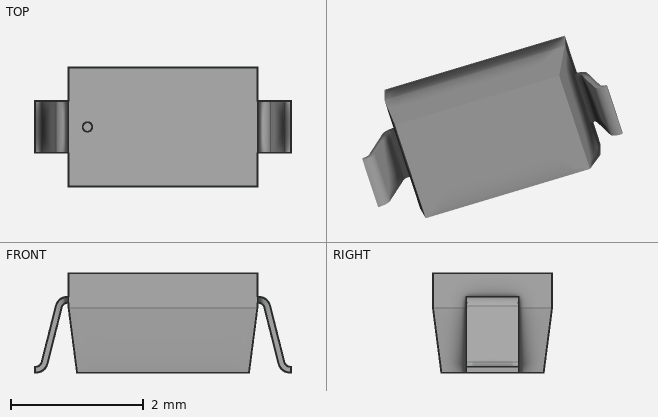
import cadquery as cq
import math

OVERALL_LENGTH = 3.86

HOUSING_LENGTH = 2.85
HOUSING_WIDTH = 1.8
HOUSING_HEIGHT = 1.5
PARTING_HEIGHT = 0.98
BASE_INSET = 0.127

MARK_DIAMETER = 0.143
MARK_DEPTH = 0.02
MARK_X = -1.14

LEAD_WIDTH = 0.785
LEAD_THICKNESS = 0.093
LEAD_TOP = 1.145
BEND_INNER_RADIUS = 0.093
LEAD_END_FLAT = 0.01


def make_mark():
    return (
        cq.Workplane("XY", origin=(MARK_X, 0, HOUSING_HEIGHT - MARK_DEPTH))
        .circle(MARK_DIAMETER / 2)
        .extrude(MARK_DEPTH)
    )


def make_housing(mark):
    upper = (
        cq.Workplane("XY", origin=(0, 0, PARTING_HEIGHT))
        .rect(HOUSING_LENGTH, HOUSING_WIDTH)
        .extrude(HOUSING_HEIGHT - PARTING_HEIGHT)
    )
    lower = (
        cq.Workplane("XY")
        .rect(HOUSING_LENGTH - 2 * BASE_INSET, HOUSING_WIDTH - 2 * BASE_INSET)
        .workplane(offset=PARTING_HEIGHT)
        .rect(HOUSING_LENGTH, HOUSING_WIDTH)
        .loft(ruled=True)
    )
    return upper.union(lower).cut(mark)


def make_lead(side):
    """Bent lead at the -X end (side = -1) or the +X end (side = 1)."""
    root_x = HOUSING_LENGTH / 2
    toe_x = OVERALL_LENGTH / 2
    outer_radius = BEND_INNER_RADIUS + LEAD_THICKNESS

    shoulder_x = root_x + LEAD_END_FLAT
    shoulder_z = LEAD_TOP - outer_radius
    foot_x = toe_x - LEAD_END_FLAT
    foot_z = outer_radius

    run = foot_x - shoulder_x
    drop = shoulder_z - foot_z
    radius_sum = BEND_INNER_RADIUS + outer_radius
    leg_length = math.sqrt(run**2 + drop**2 - radius_sum**2)
    lean = math.atan2(run, drop) - math.atan2(radius_sum, leg_length)
    bend_end = lean
    bend_middle = (math.pi / 2 + lean) / 2

    def on_shoulder(radius, angle):
        return (side * (shoulder_x + radius * math.cos(angle)), shoulder_z + radius * math.sin(angle))

    def on_foot(radius, angle):
        return (side * (foot_x - radius * math.cos(angle)), foot_z - radius * math.sin(angle))

    return (
        cq.Workplane("XZ")
        .moveTo(side * root_x, LEAD_TOP)
        .lineTo(side * shoulder_x, LEAD_TOP)
        .threePointArc(on_shoulder(outer_radius, bend_middle), on_shoulder(outer_radius, bend_end))
        .lineTo(*on_foot(BEND_INNER_RADIUS, bend_end))
        .threePointArc(on_foot(BEND_INNER_RADIUS, bend_middle), (side * foot_x, LEAD_THICKNESS))
        .lineTo(side * toe_x, LEAD_THICKNESS)
        .lineTo(side * toe_x, 0)
        .lineTo(side * foot_x, 0)
        .threePointArc(on_foot(outer_radius, bend_middle), on_foot(outer_radius, bend_end))
        .lineTo(*on_shoulder(BEND_INNER_RADIUS, bend_end))
        .threePointArc(
            on_shoulder(BEND_INNER_RADIUS, bend_middle),
            (side * shoulder_x, LEAD_TOP - LEAD_THICKNESS),
        )
        .lineTo(side * root_x, LEAD_TOP - LEAD_THICKNESS)
        .close()
        .extrude(LEAD_WIDTH / 2, both=True)
    )


mark = make_mark()
housing = make_housing(mark)
leads = [make_lead(side) for side in (-1, 1)]

result = cq.Compound.makeCompound([housing.val(), mark.val(), *[lead.val() for lead in leads]])